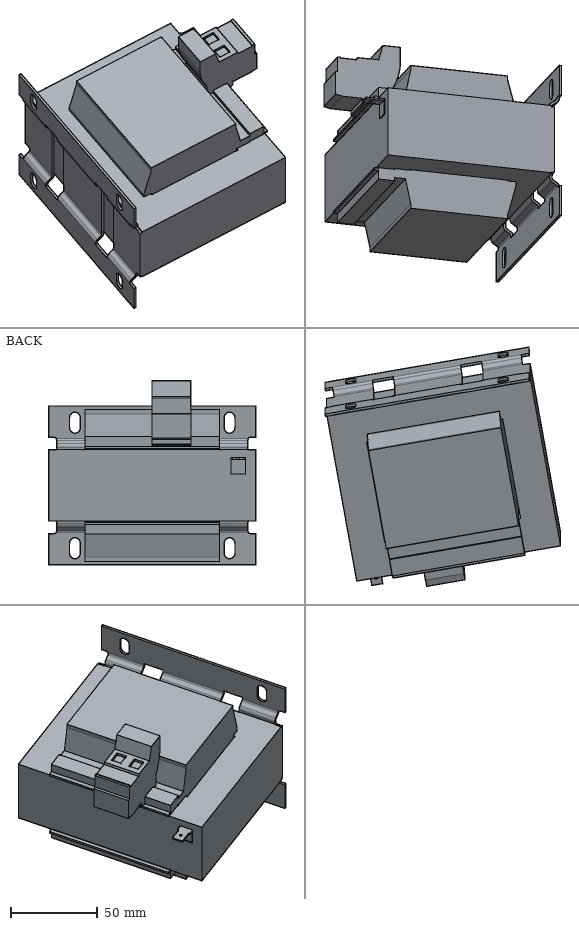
import cadquery as cq
import math


width = 120.0
bracket_half_height = 46.0
sheet = 1.5
step = 4.4
lower_bend_z = 23.2
upper_bend_z = 26.1
bend_inner_radius = 1.3
notch_depth = 4.5
notch_z_low = 20.1
notch_z_high = 27.9
notch_radius = 1.5
window_width = 12.3
window_x = 26.0
window_half_height = 28.4
slot_length = 12.0
slot_width = 6.0
slot_x = 44.8
slot_z = 36.4

core_half_height = 20.7
core_front = step + sheet
core_back = 105.7
leg = 20.0
coil_space_front = core_front + leg
coil_space_back = core_back - leg

coil_width = 77.8
coil_half_height = 44.0
coil_top_front = 26.1
coil_top_back = 85.1
coil_lip = 2.6
coil_foot_front = 21.0
coil_foot_z = 22.8
coil_foot_back = 88.4
flange_z = 26.2
flange_gap = 0.5
rib_z = 28.2
rib_front = 94.9
rib_back = 104.7
lip_back = 107.2
lip_bottom = 21.5
lip_thickness = 1.3

block_left = -22.3
block_width = 22.6
block_top = 60.7
block_front = 86.1
block_slope_top = 96.8
block_neck_front = 90.9
block_curve_top = 50.8
block_curve_middle = (86.3, 47.5)
block_curve_bottom = 34.8
block_back = 125.5
block_rear_face = 124.2
block_belly = 26.7
block_belly_back = 121.5
block_belly_corner = 27.6
block_ledge_inner = 41.8
block_ledge_outer = 41.4
block_ridge_front = 122.5
block_ridge_top = 50.7
block_deck = 51.6
block_deck_back = 112.2
block_rear_deck = 50.2
block_rear_deck_front = 112.7
block_rise = 99.3
hook_back = 109.0
hook_bottom = 23.0
hook_chamfer = (108.2, 23.5)
hook_corner = 24.1
pocket_x = (-16.8, -5.5)
pocket_width = 6.0
pocket_front = 101.7
pocket_length = 7.0
pocket_depth = 1.6

lug_x = -49.8
lug_base_width = 8.3
lug_base_back = 109.0
lug_base_thickness = 0.6
lug_base_bottom = 6.5
lug_tip_width = 6.5
lug_tip_back = 117.0
lug_top = 16.1
lug_thickness = 1.0
lug_hole_y = 112.8
lug_hole_diameter = 1.5


def box(x_range, y_range, z_range):
    """Axis-aligned block between the given limits."""
    size = [high - low for low, high in (x_range, y_range, z_range)]
    corner = (x_range[0], y_range[0], z_range[0])
    return cq.Workplane("XY").box(*size, centered=False).translate(corner)


def side_profile(x_start):
    """Workplane whose local axes are Y and Z, extruding toward +X."""
    return cq.Workplane("YZ", origin=(x_start, 0, 0))


def both_sides(upper):
    """The upper body together with its mirror image below Z = 0."""
    return upper.union(upper.mirror("XY"))


def make_bracket_half():
    slope_turn = math.atan2(step, upper_bend_z - lower_bend_z)
    corner_shift = sheet / 2 * math.tan(slope_turn / 2)
    bends = [
        (step, lower_bend_z - corner_shift, "inner"),
        (0, upper_bend_z - corner_shift, "outer"),
        (sheet, upper_bend_z + corner_shift, "inner"),
        (core_front, lower_bend_z + corner_shift, "outer"),
    ]
    front_low, front_high, back_high, back_low = [bend[:2] for bend in bends]
    outline = [
        (step, 0), front_low, front_high, (0, bracket_half_height),
        (sheet, bracket_half_height), back_high, back_low, (core_front, 0),
    ]
    half = side_profile(-width / 2).polyline(outline).close().extrude(width)
    for y, z, kind in bends:
        radius = bend_inner_radius + (sheet if kind == "outer" else 0)
        half = half.edges(cq.NearestToPointSelector((0, y, z))).fillet(radius)

    for side in (-1, 1):
        notch = (
            cq.Workplane("XZ", origin=(side * width / 2, 0, (notch_z_low + notch_z_high) / 2))
            .rect(2 * notch_depth, notch_z_high - notch_z_low)
            .extrude(-core_front)
            .edges("|Y")
            .fillet(notch_radius)
        )
        slot = (
            cq.Workplane("XZ", origin=(side * slot_x, 0, slot_z))
            .slot2D(slot_length, slot_width, 90)
            .extrude(-sheet)
        )
        window_left = side * window_x - window_width / 2
        window = box(
            (window_left, window_left + window_width),
            (0, core_front),
            (0, window_half_height),
        )
        half = half.cut(notch).cut(slot).cut(window)
    return half


def make_core():
    height_range = (-core_half_height, core_half_height)
    half_width = width / 2
    core = box((-half_width, half_width), (core_front, core_back), height_range)
    half_space = half_width - leg
    coil_space = box((-half_space, half_space), (coil_space_front, coil_space_back), height_range)
    return core.cut(coil_space)


def make_coil_half():
    flange_bottom = core_half_height + flange_gap
    outline = [
        (coil_foot_front, core_half_height),
        (coil_foot_front, coil_foot_z),
        (coil_top_front, coil_half_height - coil_lip),
        (coil_top_front, coil_half_height),
        (coil_top_back, coil_half_height),
        (coil_top_back, coil_half_height - coil_lip),
        (coil_foot_back, flange_z),
        (rib_front, flange_z),
        (rib_front, rib_z),
        (rib_back, rib_z),
        (rib_back, lip_bottom + lip_thickness),
        (lip_back, lip_bottom + lip_thickness),
        (lip_back, lip_bottom),
        (rib_back, lip_bottom),
        (rib_back, flange_bottom),
        (rib_front, flange_bottom),
        (rib_front, core_half_height),
    ]
    half_width = coil_width / 2
    outside = side_profile(-half_width).polyline(outline).close().extrude(coil_width)
    inside = box(
        (-half_width, half_width),
        (coil_space_front, coil_space_back),
        (0, core_half_height),
    )
    return outside.union(inside)


def make_terminal_block():
    block = (
        side_profile(block_left)
        .moveTo(block_neck_front, flange_z)
        .lineTo(rib_front, flange_z)
        .lineTo(rib_front, rib_z)
        .lineTo(rib_back, rib_z)
        .lineTo(rib_back, hook_bottom)
        .lineTo(*hook_chamfer)
        .lineTo(hook_back, hook_corner)
        .lineTo(hook_back, block_belly)
        .lineTo(block_belly_back, block_belly)
        .lineTo(block_back, block_belly_corner)
        .lineTo(block_back, block_ledge_outer)
        .lineTo(block_rear_face, block_ledge_inner)
        .lineTo(block_rear_face, block_ridge_top)
        .lineTo(block_ridge_front, block_ridge_top)
        .lineTo(block_ridge_front, block_rear_deck)
        .lineTo(block_rear_deck_front, block_rear_deck)
        .lineTo(block_deck_back, block_deck)
        .lineTo(block_rise, block_deck)
        .lineTo(block_slope_top, block_top)
        .lineTo(block_front, block_top)
        .lineTo(block_front, block_curve_top)
        .tangentArcPoint(block_curve_middle, relative=False)
        .tangentArcPoint((block_neck_front, block_curve_bottom), relative=False)
        .close()
        .extrude(block_width)
    )
    for x in pocket_x:
        pocket = box(
            (x - pocket_width / 2, x + pocket_width / 2),
            (pocket_front, pocket_front + pocket_length),
            (block_deck - pocket_depth, block_deck),
        )
        block = block.cut(pocket)
    return block


def make_earth_lug():
    base_x = (lug_x - lug_base_width / 2, lug_x + lug_base_width / 2)
    tip_x = (lug_x - lug_tip_width / 2, lug_x + lug_tip_width / 2)
    lug_z = (lug_top - lug_thickness, lug_top)
    upright = box(base_x, (core_back, core_back + lug_base_thickness), (lug_base_bottom, lug_top))
    shelf = box(base_x, (core_back, lug_base_back), lug_z)
    tip = box(tip_x, (core_back, lug_tip_back), lug_z)
    hole = (
        cq.Workplane("XY", origin=(lug_x, lug_hole_y, lug_top))
        .circle(lug_hole_diameter / 2)
        .extrude(-lug_thickness)
    )
    return upright.union(shelf).union(tip).cut(hole)


result = (
    make_core()
    .union(both_sides(make_bracket_half()))
    .union(both_sides(make_coil_half()))
    .union(make_terminal_block())
    .union(make_earth_lug())
)